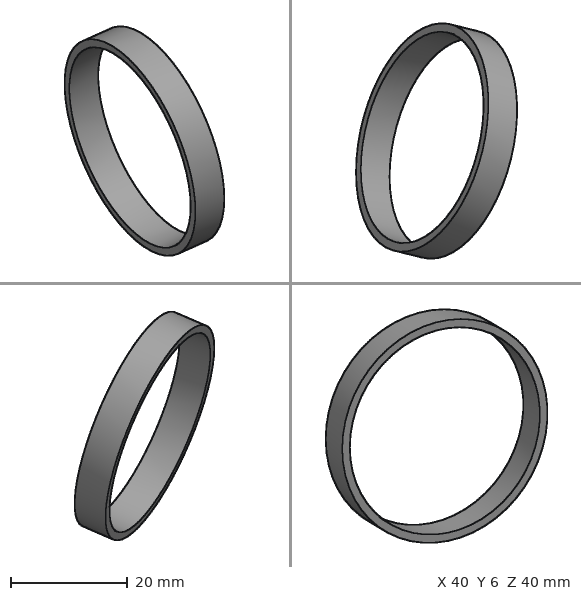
import cadquery as cq

outer_diameter = 40.0
inner_diameter = 37.0
ring_width = 6.0

result = (
    cq.Workplane("XZ", origin=(0, ring_width / 2, 0))
    .circle(outer_diameter / 2)
    .circle(inner_diameter / 2)
    .extrude(ring_width)
)